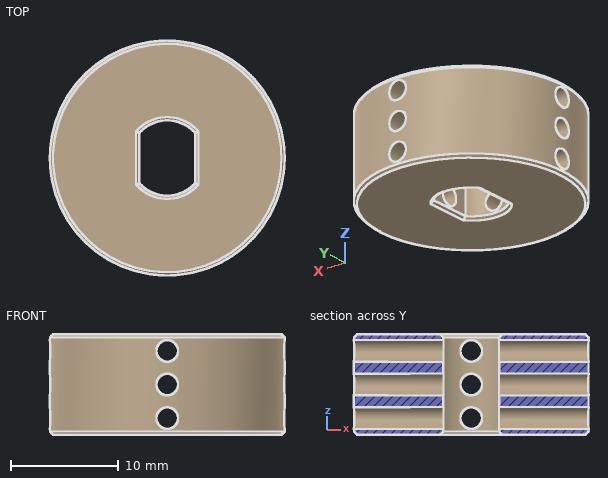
import cadquery as cq

outer_diameter = 21.88
height = 9.39
edge_chamfer = 0.3

bore_diameter = 7.0
bore_across_flats = 5.19

radial_hole_diameter = 2.0
holes_per_row = 3
hole_pitch = height / holes_per_row


def make_body():
    """Round collar with both outer rims chamfered."""
    body = cq.Workplane("XY").cylinder(height, outer_diameter / 2)
    return body.faces("<Z or >Z").edges().chamfer(edge_chamfer)


def cut_bore(body):
    """Cut the double-D bore and chamfer its rim at both ends."""
    round_bore = cq.Workplane("XY").cylinder(height, bore_diameter / 2)
    flats = cq.Workplane("XY").box(bore_across_flats, bore_diameter, height)
    bored = body.cut(round_bore.intersect(flats))
    rim_zone = cq.selectors.BoxSelector(
        (-bore_diameter, -bore_diameter, -height),
        (bore_diameter, bore_diameter, height),
        boundingbox=True,
    )
    return bored.faces("<Z or >Z").edges(rim_zone).chamfer(edge_chamfer)


def cut_radial_holes(body):
    """Drill the rows of holes right across the collar, along X and along Y."""
    centres = [(0, (index - (holes_per_row - 1) / 2) * hole_pitch) for index in range(holes_per_row)]
    for plane in ("XZ", "YZ"):
        drills = (
            cq.Workplane(plane)
            .pushPoints(centres)
            .circle(radial_hole_diameter / 2)
            .extrude(outer_diameter, both=True)
        )
        body = body.cut(drills)
    return body


result = cut_radial_holes(cut_bore(make_body()))